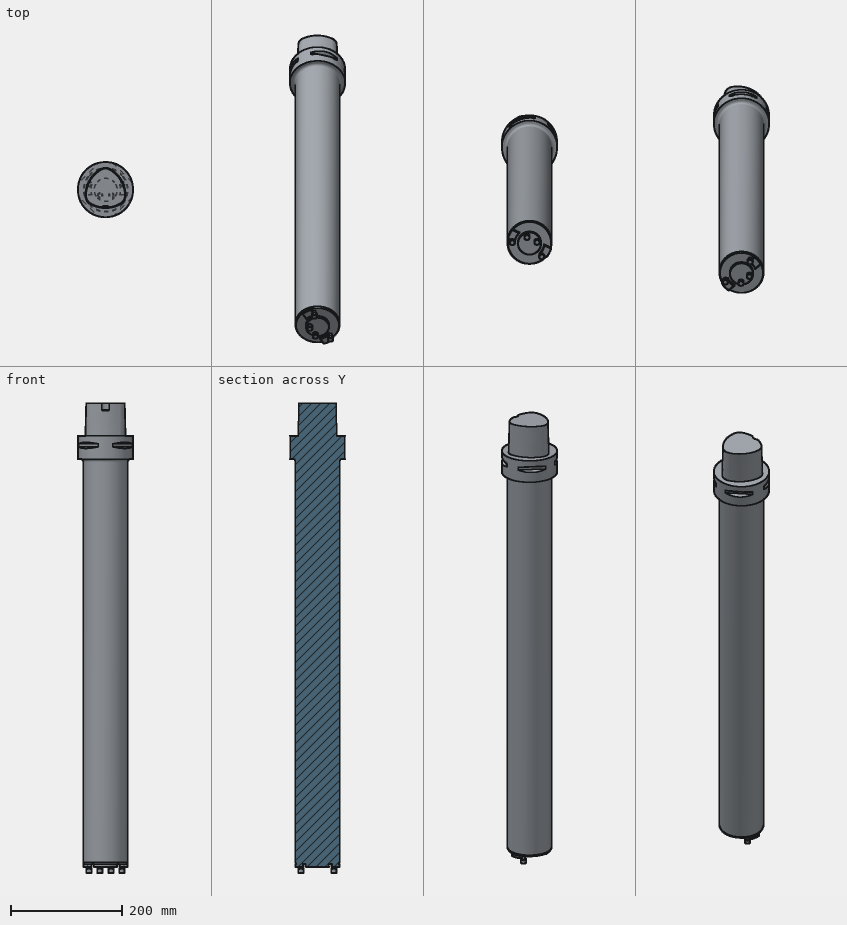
import cadquery as cq
import math

TOTAL_HEIGHT = 845.0
SHANK_HEIGHT = 59.0
FLANGE_HEIGHT = 41.0
HUB_BOTTOM = 11.0
HUB_DEPTH = 5.0
HEAD_HEIGHT = 8.0

FLANGE_BOTTOM = TOTAL_HEIGHT - SHANK_HEIGHT - FLANGE_HEIGHT
FLANGE_TOP = FLANGE_BOTTOM + FLANGE_HEIGHT
TUBE_BOTTOM = HUB_BOTTOM + HUB_DEPTH

FLANGE_DIAMETER = 100.0
FLANGE_RADIUS = FLANGE_DIAMETER / 2
TUBE_DIAMETER = 80.0
TUBE_RADIUS = TUBE_DIAMETER / 2
NECK_FILLET = 5.0
TUBE_END_CHAMFER = 2.0
TUBE_END_CHAMFER_HEIGHT = 3.0

SHANK_WIDTH = 73.0
LOBE_OFFSET = 21.0
LOBE_RADIUS = (SHANK_WIDTH - LOBE_OFFSET * math.sqrt(3)) / 2
LOBE_ANGLES = (90, 210, 330)
ARC_HALF_ANGLE = 30
TAPER_RATIO = 20.0
SIDE_RADIUS = SHANK_WIDTH - LOBE_RADIUS

NOTCH_RADIUS = 9.0
NOTCH_FLOOR = 29.0
NOTCH_HEIGHT = 13.5
NOTCH_END_CHAMFER = 2.0

GROOVE_HALF_ANGLE = 30.0
GROOVE_FLOOR_WIDTH = 5.0
GROOVE_WALL_ANGLE = 25.0
GROOVE_DROP = 17.0
GROOVE_ANGLES = (45, 135, 225, 315)

HUB_RADIUS = 21.0
HUB_CHAMFER = 1.0
KEY_WIDTH = 19.0
KEY_INNER = 26.0
KEY_CHAMFER = 1.0
SCREW_SPOTS = ((-29.5, 10.0), (-10.0, -10.0), (10.0, -10.0), (29.5, 10.0))
PIN_DIAMETER = 6.0
HEAD_DIAMETER = 10.0
HEAD_CHAMFER = 1.0


def polar(radius, degrees, centre=(0, 0)):
    angle = math.radians(degrees)
    return (centre[0] + radius * math.cos(angle), centre[1] + radius * math.sin(angle))


def cylinder(radius, bottom, top):
    return cq.Workplane("XY").workplane(offset=bottom).circle(radius).extrude(top - bottom)


def make_tube():
    """Tube with a chamfered lower end and a fillet that flares out to the flange."""
    fillet_start = FLANGE_BOTTOM - NECK_FILLET
    bend = NECK_FILLET * (1 - math.sqrt(0.5))
    return (
        cq.Workplane("XZ")
        .moveTo(0, TUBE_BOTTOM)
        .lineTo(TUBE_RADIUS - TUBE_END_CHAMFER, TUBE_BOTTOM)
        .lineTo(TUBE_RADIUS, TUBE_BOTTOM + TUBE_END_CHAMFER_HEIGHT)
        .lineTo(TUBE_RADIUS, fillet_start)
        .threePointArc(
            (TUBE_RADIUS + bend, FLANGE_BOTTOM - bend),
            (TUBE_RADIUS + NECK_FILLET, FLANGE_BOTTOM),
        )
        .lineTo(0, FLANGE_BOTTOM)
        .close()
        .revolve(360, (0, 0, 0), (0, 1, 0))
    )


def make_shank():
    """Three-lobed polygon with one lobe toward +Y, narrowing upward."""
    start = polar(LOBE_RADIUS, LOBE_ANGLES[0] - ARC_HALF_ANGLE, polar(LOBE_OFFSET, LOBE_ANGLES[0]))
    outline = cq.Workplane("XY").workplane(offset=FLANGE_TOP).moveTo(*start)
    for angle in LOBE_ANGLES:
        lobe = polar(LOBE_OFFSET, angle)
        side_angle = angle + 2 * ARC_HALF_ANGLE
        opposite_lobe = polar(LOBE_OFFSET, side_angle + 180)
        outline = outline.threePointArc(
            polar(LOBE_RADIUS, angle, lobe),
            polar(LOBE_RADIUS, angle + ARC_HALF_ANGLE, lobe),
        )
        outline = outline.threePointArc(
            polar(SIDE_RADIUS, side_angle, opposite_lobe),
            polar(SIDE_RADIUS, side_angle + ARC_HALF_ANGLE, opposite_lobe),
        )
    taper = math.degrees(math.atan(0.5 / TAPER_RATIO))
    return outline.close().extrude(SHANK_HEIGHT, taper=taper)


def make_notch():
    notch = cylinder(NOTCH_RADIUS, TOTAL_HEIGHT - NOTCH_HEIGHT, TOTAL_HEIGHT)
    notch = notch.faces("<Z").chamfer(NOTCH_END_CHAMFER)
    return notch.translate((0, -NOTCH_FLOOR - NOTCH_RADIUS, 0))


def make_groove(angle):
    """Straight groove with flared walls, its flat floor square to the given direction."""
    floor = FLANGE_RADIUS * math.cos(math.radians(GROOVE_HALF_ANGLE))
    depth = FLANGE_RADIUS - floor
    middle = FLANGE_TOP - GROOVE_DROP
    inner = GROOVE_FLOOR_WIDTH / 2
    outer = inner + depth * math.tan(math.radians(GROOVE_WALL_ANGLE))
    return (
        cq.Workplane("XZ")
        .polyline(
            [
                (floor, middle - inner),
                (FLANGE_RADIUS, middle - outer),
                (FLANGE_RADIUS, middle + outer),
                (floor, middle + inner),
            ]
        )
        .close()
        .extrude(FLANGE_RADIUS, both=True)
        .rotate((0, 0, 0), (0, 0, 1), angle)
    )


def make_hub():
    return cylinder(HUB_RADIUS, HUB_BOTTOM, TUBE_BOTTOM).faces("<Z").chamfer(HUB_CHAMFER)


def make_end_keys():
    """Two keys reaching from beside the hub out to the tube rim."""
    ring = cylinder(TUBE_RADIUS, HUB_BOTTOM, TUBE_BOTTOM).cut(cylinder(KEY_INNER, HUB_BOTTOM, TUBE_BOTTOM))
    bar = cq.Workplane("XY").workplane(offset=HUB_BOTTOM).rect(TUBE_DIAMETER, KEY_WIDTH).extrude(HUB_DEPTH)
    return ring.intersect(bar).faces("<Z").chamfer(KEY_CHAMFER)


def make_screw(spot):
    head = cylinder(HEAD_DIAMETER / 2, 0, HEAD_HEIGHT).faces("<Z").chamfer(HEAD_CHAMFER)
    pin = cylinder(PIN_DIAMETER / 2, HEAD_HEIGHT, TUBE_BOTTOM)
    return head.union(pin).translate((spot[0], spot[1], 0))


flange = cylinder(FLANGE_RADIUS, FLANGE_BOTTOM, FLANGE_TOP)
for groove_angle in GROOVE_ANGLES:
    flange = flange.cut(make_groove(groove_angle))

result = make_tube().union(flange).union(make_shank().cut(make_notch()))
result = result.union(make_hub()).union(make_end_keys())
for screw_spot in SCREW_SPOTS:
    result = result.union(make_screw(screw_spot))